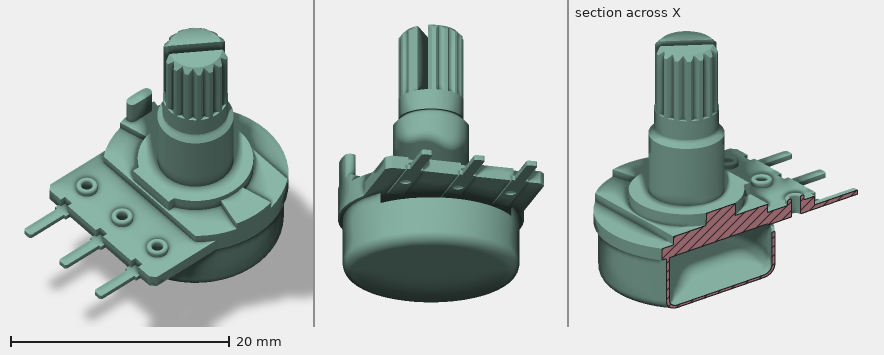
import cadquery as cq
import math

overall_length = 24.55

can_diameter = 16.2
can_bore = 15.6
can_height = 5.35
can_edge_radius = 1.0
can_wall = (can_diameter - can_bore) / 2
window_bottom = 4.37
window_width = 12.62

housing_diameter = 17.09
housing_radius = housing_diameter / 2
board_width = 15.17
board_front_y = -11.51
board_corner_chamfer = 0.5
board_top = 6.55
step_top = 7.4
step_half_depth = 5.52

sector_top = 8.1
sector_half_angle = math.radians(14)
tab_top = 10.4
tab_thickness = 1.0
tab_width = 2.75
tab_inset = 0.05

flange_diameter = 10.6
flange_top = 8.62
key_width = 5.05
key_reach = 5.35

bushing_diameter = 7.0
bushing_top = 15.0
bushing_chamfer = 0.6
neck_diameter = 5.5
neck_top = 15.07
shaft_diameter = 6.0
shaft_radius = shaft_diameter / 2
shaft_top = 23.52
shaft_chamfer = 0.52
spline_bottom = 17.0
spline_count = 16
spline_depth = 0.45
slot_width = 1.0
spline_pitch = 360 / spline_count
slot_angle = 2.5 * spline_pitch

terminal_pitch = 5.0
terminal_xs = (-terminal_pitch, 0, terminal_pitch)
terminal_bottom = 5.2
terminal_thickness = 0.47
terminal_back_y = -5.52
pin_width = 1.0
pin_tip_y = housing_radius - overall_length
pin_tip_radius = 0.25
collar_width = 1.5
collar_front_y = -11.98
notch_back_y = -11.0
eyelet_y = -8.8
eyelet_diameter = 2.0
eyelet_hole = 1.0
eyelet_top = 7.12
eyelet_outer_round = 0.25
eyelet_inner_round = 0.22


def cylinder(diameter, bottom, top):
    return cq.Workplane("XY").workplane(offset=bottom).circle(diameter / 2).extrude(top - bottom)


def block(x_range, y_range, z_range):
    size = [high - low for low, high in (x_range, y_range, z_range)]
    corner = (x_range[0], y_range[0], z_range[0])
    return cq.Workplane("XY").box(*size, centered=False).translate(corner)


def centred_range(width, middle=0):
    return (middle - width / 2, middle + width / 2)


def make_can():
    outside = cylinder(can_diameter, 0, can_height).faces("<Z").edges().fillet(can_edge_radius)
    inside = cylinder(can_bore, can_wall, can_height)
    inside = inside.faces("<Z").edges().fillet(can_edge_radius - can_wall)
    window = block(centred_range(window_width), (-can_diameter, 0), (window_bottom, can_height))
    return outside.cut(inside).cut(window)


def make_board():
    board = block(centred_range(board_width), (board_front_y, 0), (can_height, board_top))
    board = board.edges("|Z and <Y").chamfer(board_corner_chamfer)
    for x in terminal_xs:
        board = board.cut(
            block(centred_range(pin_width, x), (board_front_y, notch_back_y), (can_height, board_top))
        )
    return board


def make_housing():
    disc = cylinder(housing_diameter, can_height, board_top)
    step = cylinder(housing_diameter, board_top, step_top).intersect(
        block(
            centred_range(housing_diameter), centred_range(2 * step_half_depth), (board_top, step_top)
        )
    )
    return disc.union(step)


def make_sectors():
    reach_x = housing_diameter
    reach_y = reach_x * math.tan(sector_half_angle)
    sectors = cylinder(housing_diameter, step_top, sector_top)
    wedges = cq.Workplane("XY").workplane(offset=step_top)
    for side in (-1, 1):
        wedges = wedges.polyline([(0, 0), (side * reach_x, reach_y), (side * reach_x, -reach_y)]).close()
    return sectors.intersect(wedges.extrude(sector_top - step_top))


def make_tab():
    middle_x = tab_inset + tab_thickness / 2 - housing_radius
    straight_width = tab_width - tab_thickness
    bar = (
        cq.Workplane("XY")
        .workplane(offset=step_top)
        .center(middle_x, 0)
        .slot2D(tab_width, tab_thickness, 90)
        .extrude(tab_top - step_top)
    )
    filling = block((-housing_radius, middle_x), centred_range(straight_width), (step_top, tab_top))
    return bar.union(filling).intersect(cylinder(housing_diameter, step_top, tab_top))


def make_flange():
    key = block(centred_range(key_width), (-key_reach, 0), (step_top, flange_top))
    return cylinder(flange_diameter, step_top, flange_top).union(key)


def make_shaft():
    bushing = cylinder(bushing_diameter, flange_top, bushing_top)
    bushing = bushing.faces(">Z").edges().chamfer(bushing_chamfer)
    neck = cylinder(neck_diameter, bushing_top, neck_top)
    shaft = cylinder(shaft_diameter, neck_top, shaft_top).faces(">Z").edges().chamfer(shaft_chamfer)

    root = shaft_radius - spline_depth
    groove_reach = 2 * spline_depth
    groove = (
        cq.Workplane("XY")
        .workplane(offset=spline_bottom)
        .polyline([(root, 0), (root + groove_reach, groove_reach), (root + groove_reach, -groove_reach)])
        .close()
        .extrude(shaft_top - spline_bottom)
    )
    for i in range(spline_count):
        shaft = shaft.cut(groove.rotate((0, 0, 0), (0, 0, 1), i * spline_pitch))

    slot = block(centred_range(2 * shaft_diameter), centred_range(slot_width), (spline_bottom, shaft_top))
    shaft = shaft.cut(slot.rotate((0, 0, 0), (0, 0, 1), slot_angle))
    return bushing.union(neck).union(shaft)


def make_terminal(x):
    z_range = (terminal_bottom, terminal_bottom + terminal_thickness)
    strip = block(centred_range(collar_width, x), (collar_front_y, terminal_back_y), z_range)
    pin = block(centred_range(pin_width, x), (pin_tip_y, notch_back_y), z_range)
    pin = pin.edges("|Z and <Y").fillet(pin_tip_radius)
    return strip.union(pin)


def make_eyelet(x):
    ring = cylinder(eyelet_diameter, board_top, eyelet_top).faces(">Z").edges().fillet(eyelet_outer_round)
    ring = ring.cut(cylinder(eyelet_hole, board_top, eyelet_top))
    ring = ring.faces(">Z").edges(cq.selectors.RadiusNthSelector(0)).fillet(eyelet_inner_round)
    return ring.translate((x, eyelet_y, 0))


result = make_can()
for solid in (make_housing(), make_board(), make_sectors(), make_tab(), make_flange(), make_shaft()):
    result = result.union(solid)
for x in terminal_xs:
    result = result.union(make_terminal(x)).union(make_eyelet(x))
for x in terminal_xs:
    result = result.cut(cylinder(eyelet_hole, terminal_bottom, board_top).translate((x, eyelet_y, 0)))